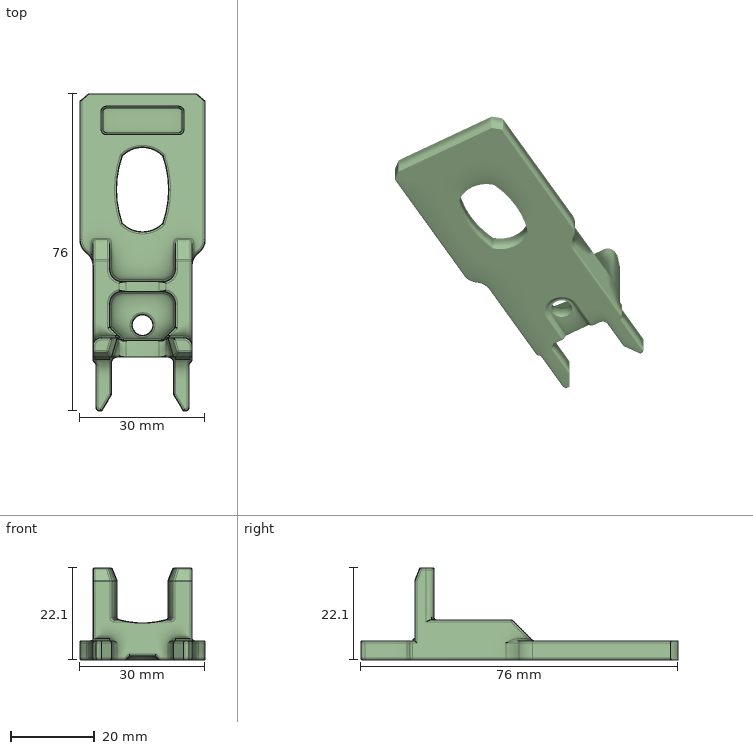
import cadquery as cq
length = 76.0
plate_width = 30.0
plate_thickness = 4.6
height = 22.1
edge_radius = 0.5

half_length = length / 2
half_plate = plate_width / 2

corner_x = 2.1
corner_y = 1.8
shoulder_start_y = 3.1
shoulder_end_y = -3.3

half_body = 11.85
rib_top = 9.65
ramp_start_y = 3.2
front_y = -25.1
half_channel = 7.9
channel_radius = 3.05
rear_wall_y = -7.0
rear_wall_thickness = 2.35
front_wall_thickness = 3.95
pocket_diagonal = 3.2
wall_half = half_channel - channel_radius
ramp_end_y = ramp_start_y - (rib_top - plate_thickness)
pocket_back_y = rear_wall_y - rear_wall_thickness
pocket_front_y = front_y + front_wall_thickness

saddle_half_width = 5.6
saddle_arc_half_width = 3.95
saddle_depth = 0.75

post_back_y = -20.45
post_inner_back_x = 6.1
post_inner_front_x = 7.45
post_corner_radius = 2.0
taper_height = 3.1
taper_run = 1.2

leg_outer_x = 11.2
leg_inner_x = 7.45
leg_shoulder_start_y = -25.7
leg_shoulder_end_y = -26.9
leg_root_radius = 1.4
leg_bevel_start_y = -34.05
leg_tip_inner_x = 9.8
leg_tip_radius = 1.0

window_center_y = 15.05
window_half_width = 6.2
window_half_length = 10.1
window_corner_x = 4.9
window_corner_dy = 8.05
window_corner_radius = 0.15

label_center_y = 31.6
label_width = 19.9
label_length = 6.85
label_corner_radius = 1.4
label_depth = 0.5
label_wall_chamfer = 0.45

hole_y = -17.4
hole_diameter = 4.95
slot_depth = 1.0
slot_half_width = 4.0
slot_flare_angle = 45

margin = 0.1


def s_curve(outline, start, end):
    """Append two equal tangent arcs stepping from one Y-parallel line to another."""
    middle = ((start[0] + end[0]) / 2, (start[1] + end[1]) / 2)
    outline = outline.lineTo(*start)
    outline = outline.tangentArcPoint(middle, relative=False)
    return outline.tangentArcPoint(end, relative=False)


def is_rim(edge):
    """True for the block's top edges other than its front edge."""
    return abs(edge.Center().y - front_y) > margin


def is_ramp(face):
    return face.normalAt().y > margin and face.normalAt().z > margin


def is_center_front(edge):
    """True for the plate's front edge between the legs."""
    return abs(edge.Center().x) < margin and abs(edge.Center().y - front_y) < margin


def both_sides(half):
    return half.union(half.mirror("YZ"))


def make_plate():
    """Flat plate with stepped shoulders, ending in two legs."""
    root_x = leg_inner_x - leg_root_radius
    root_y = front_y - leg_root_radius
    tip_y = -half_length
    outline = (
        cq.Workplane("XY")
        .moveTo(0, half_length)
        .lineTo(half_plate - corner_x, half_length)
        .lineTo(half_plate, half_length - corner_y)
    )
    outline = s_curve(outline, (half_plate, shoulder_start_y), (half_body, shoulder_end_y))
    outline = s_curve(outline, (half_body, leg_shoulder_start_y), (leg_outer_x, leg_shoulder_end_y))
    outline = (
        outline.lineTo(leg_outer_x, tip_y + leg_tip_radius)
        .tangentArcPoint((leg_outer_x - leg_tip_radius, tip_y), relative=False)
        .lineTo(leg_tip_inner_x, tip_y)
        .lineTo(leg_inner_x, leg_bevel_start_y)
        .lineTo(leg_inner_x, root_y)
        .tangentArcPoint((root_x, front_y), relative=False)
        .lineTo(0, front_y)
        .close()
    )
    plate = both_sides(outline.extrude(plate_thickness)).clean()
    sides = cq.selectors.BoxSelector(
        (-half_plate - 0.75, -half_length - 0.75, -0.75),
        (half_plate + 0.75, half_length - corner_y - 0.75, plate_thickness + 0.75),
    )
    plate = plate.faces("<Z").edges(sides).fillet(edge_radius)
    upper = plate.faces(">Z").edges(sides).filter(lambda edge: not is_center_front(edge))
    return upper.fillet(edge_radius)


def pocket_space():
    """Space between the cross walls, open upwards, with its front corners cut at 45 degrees."""
    return (
        cq.Workplane("XY", origin=(0, 0, plate_thickness))
        .moveTo(half_channel, pocket_front_y + pocket_diagonal)
        .lineTo(half_channel, pocket_back_y - channel_radius)
        .tangentArcPoint((wall_half, pocket_back_y), relative=False)
        .lineTo(-wall_half, pocket_back_y)
        .tangentArcPoint((-half_channel, pocket_back_y - channel_radius), relative=False)
        .lineTo(-half_channel, pocket_front_y + pocket_diagonal)
        .lineTo(pocket_diagonal - half_channel, pocket_front_y)
        .lineTo(half_channel - pocket_diagonal, pocket_front_y)
        .close()
        .extrude(height)
    )


def make_body():
    """Ramped block cut by the open rear channel and the closed front pocket."""
    profile = (
        cq.Workplane("YZ", origin=(-half_body, 0, 0))
        .moveTo(front_y, edge_radius)
        .lineTo(ramp_start_y, edge_radius)
        .lineTo(ramp_start_y, plate_thickness)
        .lineTo(ramp_end_y, rib_top)
        .lineTo(front_y, rib_top)
        .close()
    )
    body = profile.extrude(2 * half_body)

    channel = (
        cq.Workplane("XY", origin=(0, 0, plate_thickness))
        .moveTo(half_channel, ramp_start_y)
        .lineTo(half_channel, rear_wall_y + channel_radius)
        .tangentArcPoint((wall_half, rear_wall_y), relative=False)
        .lineTo(-wall_half, rear_wall_y)
        .tangentArcPoint((-half_channel, rear_wall_y + channel_radius), relative=False)
        .lineTo(-half_channel, ramp_start_y)
        .close()
        .extrude(height)
    )
    body = body.cut(channel).cut(pocket_space())

    rims = body.faces(">Z").edges().filter(is_rim)
    ramp_sides = body.faces().filter(is_ramp).edges("not |X")
    return body.newObject(rims.vals() + ramp_sides.vals()).fillet(edge_radius)


def cut_saddle(body):
    """Dip both cross walls along a shallow arc with tangent ramps at its ends."""
    ramp_run = saddle_half_width - saddle_arc_half_width
    end_slope = saddle_depth / (ramp_run + saddle_arc_half_width / 2)
    arc_end_z = rib_top - ramp_run * end_slope
    saddle = (
        cq.Workplane("XZ", origin=(0, front_y, 0))
        .moveTo(-saddle_half_width, rib_top)
        .lineTo(-saddle_arc_half_width, arc_end_z)
        .threePointArc((0, rib_top - saddle_depth), (saddle_arc_half_width, arc_end_z))
        .lineTo(saddle_half_width, rib_top)
        .lineTo(saddle_half_width, height)
        .lineTo(-saddle_half_width, height)
        .close()
        .extrude(front_y - rear_wall_y)
    )
    return body.cut(saddle)


def post_prism(bottom, top):
    """Straight post on the +X front corner with a rounded outer back corner."""
    return (
        cq.Workplane("XY", origin=(0, 0, bottom))
        .moveTo(post_inner_front_x, front_y)
        .lineTo(half_body, front_y)
        .lineTo(half_body, post_back_y - post_corner_radius)
        .tangentArcPoint((half_body - post_corner_radius, post_back_y), relative=False)
        .lineTo(post_inner_back_x, post_back_y)
        .close()
        .extrude(top - bottom)
    )


def make_post_foot():
    """Fillet between the post and the rib top, along the post's back and inner faces."""
    foot_top = rib_top + 2 * edge_radius
    slab = cq.Workplane("XY").box(
        4 * half_body, 4 * half_body, plate_thickness, centered=(True, True, False)
    )
    slab = slab.translate((0, front_y, rib_top - plate_thickness))
    foot = slab.union(post_prism(rib_top, foot_top))
    base_line = cq.selectors.BoxSelector(
        (0, front_y + margin, rib_top - margin),
        (half_body - margin, post_back_y + margin, rib_top + margin),
    )
    foot = foot.edges(base_line).fillet(edge_radius)
    flat_of_rib = (
        cq.Workplane("XY", origin=(0, front_y, rib_top))
        .rect(half_body - edge_radius, half_body, centered=False)
        .extrude(2 * edge_radius)
    )
    return foot.intersect(flat_of_rib).cut(pocket_space())


def make_post():
    """Post with its foot fillet and a tip tapered on the front and inner faces."""
    post = post_prism(plate_thickness, height).union(make_post_foot())
    inner_face_direction = cq.Vector(
        post_inner_front_x - post_inner_back_x, front_y - post_back_y, 0
    )
    into_post = cq.Vector(0, 0, 1).cross(inner_face_direction)
    corner = cq.Vector(post_inner_front_x, front_y, height)
    front_plane = cq.Plane(corner, xDir=(0, 1, 0), normal=(1, 0, 0))
    inner_plane = cq.Plane(corner, xDir=into_post, normal=inner_face_direction)
    for plane in (front_plane, inner_plane):
        taper = (
            cq.Workplane(plane)
            .polyline([(0, 0), (taper_run, 0), (0, -taper_height)])
            .close()
            .extrude(2 * half_body, both=True)
        )
        post = post.cut(taper)
    return post


def cut_window(plate):
    """Oval window through the plate, built from four arcs meeting at tight corners."""
    window = (
        cq.Workplane("XY", origin=(0, window_center_y, 0))
        .moveTo(-window_corner_x, window_corner_dy)
        .threePointArc((0, window_half_length), (window_corner_x, window_corner_dy))
        .threePointArc((window_half_width, 0), (window_corner_x, -window_corner_dy))
        .threePointArc((0, -window_half_length), (-window_corner_x, -window_corner_dy))
        .threePointArc((-window_half_width, 0), (-window_corner_x, window_corner_dy))
        .close()
        .extrude(plate_thickness)
        .edges("|Z")
        .fillet(window_corner_radius)
    )
    rim = cq.selectors.BoxSelector(
        (-half_channel, window_center_y - window_half_length - 0.75, plate_thickness - margin),
        (half_channel, window_center_y + window_half_length + 0.75, plate_thickness + margin),
    )
    return plate.cut(window).edges(rim).fillet(edge_radius)


def cut_label(plate):
    """Shallow label recess with sloped walls."""
    recess = (
        cq.Workplane("XY", origin=(0, label_center_y, plate_thickness - label_depth))
        .rect(label_width, label_length)
        .extrude(label_depth)
        .edges("|Z")
        .fillet(label_corner_radius)
        .faces("<Z")
        .edges()
        .chamfer(label_wall_chamfer)
    )
    return plate.cut(recess)


def cut_hole(part):
    """Screw hole with a rounded rim."""
    hole = cq.Workplane("XY", origin=(0, hole_y, 0)).circle(hole_diameter / 2).extrude(height)
    rim = cq.selectors.BoxSelector(
        (-margin, hole_y - margin, plate_thickness - margin),
        (margin, hole_y + margin, plate_thickness + margin),
    )
    return part.cut(hole).edges(rim).fillet(edge_radius)


def cut_slot(part):
    """Round-ended slot in the underside, flaring at 45 degrees and open to the front."""
    slot = (
        cq.Workplane("XY")
        .moveTo(slot_half_width, front_y - slot_half_width)
        .lineTo(slot_half_width, hole_y)
        .threePointArc((0, hole_y + slot_half_width), (-slot_half_width, hole_y))
        .lineTo(-slot_half_width, front_y - slot_half_width)
        .close()
        .extrude(slot_depth, taper=slot_flare_angle)
    )
    mouth = cq.selectors.BoxSelector(
        (-slot_half_width, front_y - margin, margin),
        (slot_half_width, front_y + margin, slot_depth + margin),
    )
    return part.cut(slot).edges(mouth).fillet(edge_radius)


def is_post_edge(edge):
    """True for the post's top edges and the front edges leading up to them."""
    center = edge.Center()
    if abs(center.z - height) < margin:
        return True
    if edge.geomType() != "LINE" or center.z < plate_thickness or abs(center.x) < saddle_half_width:
        return False
    steepness = abs(edge.tangentAt(0).z)
    return steepness > 0.8 and center.y < front_y + taper_run - margin


def is_wall_base(edge):
    """True where the block's walls and ramps stand on the plate."""
    center = edge.Center()
    if abs(center.z - plate_thickness) > margin or abs(center.x) > half_body + margin:
        return False
    return pocket_front_y - margin < center.y < ramp_start_y + margin


def make_leg_fillet():
    """Concave fillet between the top of the +X leg and the front face."""
    inner_x = leg_inner_x + edge_radius
    outer_x = half_body - edge_radius
    return (
        cq.Workplane("YZ", origin=(inner_x, 0, 0))
        .moveTo(front_y - edge_radius, plate_thickness)
        .radiusArc((front_y, plate_thickness + edge_radius), edge_radius)
        .lineTo(front_y, plate_thickness)
        .close()
        .extrude(outer_x - inner_x)
    )


plate = cut_label(cut_window(make_plate()))
body = cut_saddle(make_body())
part = plate.union(body).union(both_sides(make_post())).clean()
part = part.edges().filter(is_post_edge).fillet(edge_radius)
part = part.edges().filter(is_wall_base).fillet(edge_radius)
part = part.union(both_sides(make_leg_fillet()))
part = cut_hole(part)
result = cut_slot(part)